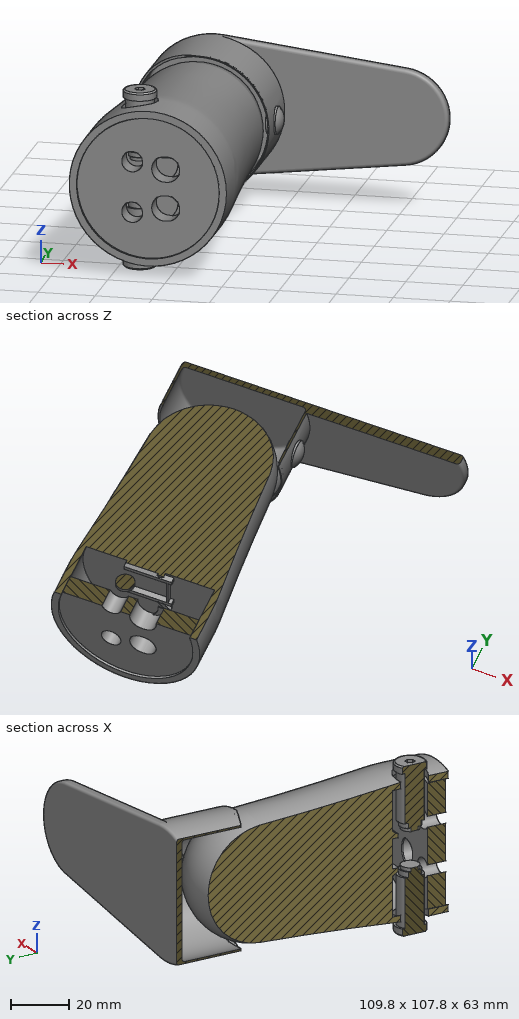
import cadquery as cq
import math

TOTAL_WIDTH = 109.8
TOTAL_LENGTH = 107.8
TOTAL_HEIGHT = 63.0

BASE_RADIUS = 27.6
BASE_LENGTH = 14.3
SHOULDER_END = 21.3
SHOULDER_RADIUS = 27.2
WAIST_MIDDLE = 50.5
WAIST_MIDDLE_RADIUS = 24.9
DOME_START = 75.0
DOME_CENTER = 73.4
DOME_RADIUS = 23.6
BORE_AND_HUB_DIAMETER = 50.0
BORE_RADIUS = BORE_AND_HUB_DIAMETER / 2
BORE_DEPTH = 22.0

RIB_HEIGHT = 2.2
RIB_INNER_Z = 5.5
RIB_OUTER_Z = 6.9
RIB_FOOT_Z = 8.3
RIB_END_X = 8.8
LEG_X = 6.9
LEG_WIDTH = 0.5
SPUR_ANGLE = 45.0
SPUR_HEIGHT = 1.6
SPUR_WIDTH = 1.6
SPUR_LENGTH = 5.5
SPUR_START_X = 3.7

PLATE_RECESS = 1.0
PLATE_THICKNESS = 7.4
SMALL_HOLE_DIAMETER = 7.2
SMALL_HOLE_Z = 9.0
LARGE_HOLE_WIDTH = 9.0
LARGE_HOLE_LENGTH = 9.8
LARGE_HOLE_X = 6.0
LARGE_HOLE_Z = 6.9
LEDGE_THICKNESS = 0.5
LEDGE_OPENING_DIAMETER = 12.5
LEDGE_EDGE_X = 8.8

SCREW_X = -5.7
SCREW_Y = 13.4
SCREW_HEAD_DIAMETER = 11.5
SCREW_HEAD_HEIGHT = 2.9
SCREW_HEAD_CHAMFER = 0.5
SCREW_TOP_Z = TOTAL_HEIGHT / 2
SHANK_DIAMETER = 9.8
SHANK_END_Z = 10.0
TIP_DIAMETER = 8.0
TIP_END_Z = 8.0
NOSE_DIAMETER = 6.8
NOSE_END_Z = 6.7
SOCKET_CORNERS = 3.5
SOCKET_DEPTH = 5.5
SCREW_RECESS_DIAMETER = 12.5
SCREW_RECESS_FLOOR_Z = 23.1

HUB_RADIUS = BORE_AND_HUB_DIAMETER / 2
HUB_MOUTH_Y = 78.8
HUB_CUT_Y = 88.2
MOUTH_RADIUS = 24.6
MOUTH_END_Y = 80.6
CAVITY_RADIUS = 24.2
CAVITY_FLOOR_Y = 105.5
CAVITY_FILLET = 1.1
LEVER_THICKNESS = 4.3
LEVER_END_X = TOTAL_WIDTH - BASE_RADIUS
LEVER_END_RADIUS = 17.1
LEVER_TOP_FILLET = 1.1
LEVER_BOTTOM_FILLET = 1.2

CAP_Y = 91.6
CAP_DIAMETER = 9.8
CAP_TOP_X = 27.4
CAP_RIM_X = 25.4
CAP_BACK_X = 22.0


def cylinder_y(radius, start, end):
    """Cylinder on the main axis between two Y values."""
    return cq.Workplane("XZ", origin=(0, start, 0)).circle(radius).extrude(start - end)


def cylinder_z(diameter, start, end):
    """Cylinder on the axis of the screws between two Z values."""
    return (
        cq.Workplane("XY", origin=(SCREW_X, SCREW_Y, start)).circle(diameter / 2).extrude(end - start)
    )


def mirrored_in_z(shape):
    return shape.mirror("XY")


def make_ribs():
    """One half of the rib pattern on the floor of the bore, at positive Z."""
    top = BORE_DEPTH - RIB_HEIGHT
    bar = cq.Workplane("XY").box(
        2 * RIB_END_X, RIB_HEIGHT, RIB_OUTER_Z - RIB_INNER_Z, centered=(True, False, False)
    )
    bar = bar.translate((0, top, RIB_INNER_Z))
    flank = (
        cq.Workplane("YZ", origin=(-RIB_END_X, 0, 0))
        .polyline([(BORE_DEPTH, RIB_OUTER_Z), (top, RIB_OUTER_Z), (BORE_DEPTH, RIB_FOOT_Z)])
        .close()
        .extrude(RIB_END_X + SPUR_START_X)
    )
    leg = cq.Workplane("XY").box(LEG_WIDTH, RIB_HEIGHT, RIB_INNER_Z, centered=False)
    leg = leg.translate((LEG_X, top, 0))
    spur = cq.Workplane("XY").box(SPUR_LENGTH, SPUR_HEIGHT, SPUR_WIDTH, centered=(False, False, True))
    spur = spur.rotate((0, 0, 0), (0, 1, 0), -SPUR_ANGLE)
    spur = spur.translate((SPUR_START_X, BORE_DEPTH - SPUR_HEIGHT, RIB_OUTER_Z))
    return bar.union(flank).union(leg).union(spur)


def make_body():
    dome_edge = math.sqrt(DOME_RADIUS**2 - (DOME_START - DOME_CENTER) ** 2)
    diagonal = DOME_RADIUS / math.sqrt(2)
    body = (
        cq.Workplane("XY")
        .lineTo(BASE_RADIUS, 0)
        .lineTo(BASE_RADIUS, BASE_LENGTH)
        .tangentArcPoint((SHOULDER_RADIUS, SHOULDER_END), relative=False)
        .threePointArc((WAIST_MIDDLE_RADIUS, WAIST_MIDDLE), (dome_edge, DOME_START))
        .threePointArc((diagonal, DOME_CENTER + diagonal), (0, DOME_CENTER + DOME_RADIUS))
        .close()
        .revolve(360, (0, 0, 0), (0, 1, 0))
    )
    body = body.cut(cylinder_y(BORE_RADIUS, 0, BORE_DEPTH))
    ribs = make_ribs()
    body = body.union(ribs).union(mirrored_in_z(ribs))
    screw_hole = cylinder_z(SHANK_DIAMETER, 0, BASE_RADIUS).union(
        cylinder_z(SCREW_RECESS_DIAMETER, SCREW_RECESS_FLOOR_Z, BASE_RADIUS)
    )
    return body.cut(screw_hole).cut(mirrored_in_z(screw_hole))


def make_large_hole(plate_end):
    """Obround hole that narrows to a partly covering round opening at its inner end."""
    slot = (
        cq.Workplane("XZ", origin=(LARGE_HOLE_X, 0, 0))
        .slot2D(LARGE_HOLE_LENGTH, LARGE_HOLE_WIDTH)
        .extrude(-plate_end)
    )
    ledge_start = plate_end - LEDGE_THICKNESS
    opening_radius = LEDGE_OPENING_DIAMETER / 2
    opening = cylinder_y(opening_radius, ledge_start, plate_end)
    opening = opening.translate((LEDGE_EDGE_X - opening_radius, 0, 0))
    ledge = cylinder_y(BORE_RADIUS, ledge_start, plate_end).cut(opening)
    return slot.cut(ledge)


def make_base_plate():
    plate_end = PLATE_RECESS + PLATE_THICKNESS
    plate = cylinder_y(BORE_RADIUS, PLATE_RECESS, plate_end)
    for side in (-1, 1):
        small_hole = cylinder_y(SMALL_HOLE_DIAMETER / 2, 0, plate_end)
        plate = plate.cut(small_hole.translate((SCREW_X, 0, side * SMALL_HOLE_Z)))
        plate = plate.cut(make_large_hole(plate_end).translate((0, 0, side * LARGE_HOLE_Z)))
    return plate


def make_screw(side):
    """Screw pointing inward from the +Z side (side = 1) or the -Z side (side = -1)."""
    head_base = SCREW_TOP_Z - SCREW_HEAD_HEIGHT
    head = cylinder_z(SCREW_HEAD_DIAMETER, head_base, SCREW_TOP_Z).faces(">Z").chamfer(SCREW_HEAD_CHAMFER)
    shank = cylinder_z(SHANK_DIAMETER, SHANK_END_Z, head_base)
    tip = cylinder_z(TIP_DIAMETER, TIP_END_Z, SHANK_END_Z)
    nose = cylinder_z(NOSE_DIAMETER, NOSE_END_Z, TIP_END_Z)
    socket = (
        cq.Workplane("XY", origin=(SCREW_X, SCREW_Y, SCREW_TOP_Z))
        .polygon(6, SOCKET_CORNERS)
        .extrude(-SOCKET_DEPTH)
    )
    screw = head.union(shank).union(tip).union(nose).cut(socket)
    return screw if side > 0 else mirrored_in_z(screw)


def make_lever():
    """Flat lever whose straight edges are tangent to the hub and to the rounded end."""
    end_center = LEVER_END_X - LEVER_END_RADIUS
    sine = (HUB_RADIUS - LEVER_END_RADIUS) / end_center
    cosine = math.sqrt(1 - sine**2)
    hub_x, hub_z = HUB_RADIUS * sine, HUB_RADIUS * cosine
    end_x, end_z = end_center + LEVER_END_RADIUS * sine, LEVER_END_RADIUS * cosine
    lever = (
        cq.Workplane("XZ", origin=(0, TOTAL_LENGTH, 0))
        .moveTo(hub_x, hub_z)
        .lineTo(end_x, end_z)
        .threePointArc((LEVER_END_X, 0), (end_x, -end_z))
        .lineTo(hub_x, -hub_z)
        .threePointArc((-HUB_RADIUS, 0), (hub_x, hub_z))
        .close()
        .extrude(LEVER_THICKNESS)
    )
    lever = lever.faces(">Y").edges().fillet(LEVER_TOP_FILLET)
    return lever.faces("<Y").edges().fillet(LEVER_BOTTOM_FILLET)


def make_handle():
    hub = cylinder_y(HUB_RADIUS, HUB_MOUTH_Y, TOTAL_LENGTH - LEVER_TOP_FILLET)
    slant = (
        cq.Workplane("XY", origin=(0, 0, -HUB_RADIUS))
        .moveTo(0, HUB_MOUTH_Y)
        .lineTo(-HUB_RADIUS, HUB_CUT_Y)
        .lineTo(-HUB_RADIUS, HUB_MOUTH_Y)
        .close()
        .extrude(2 * HUB_RADIUS)
    )
    hub = hub.cut(slant).union(make_lever())
    cavity = cylinder_y(CAVITY_RADIUS, HUB_MOUTH_Y, CAVITY_FLOOR_Y).faces(">Y").edges().fillet(CAVITY_FILLET)
    mouth = cylinder_y(MOUTH_RADIUS, HUB_MOUTH_Y, MOUTH_END_Y)
    cap_hole = (
        cq.Workplane("YZ", origin=(CAP_BACK_X, CAP_Y, 0))
        .circle(CAP_DIAMETER / 2)
        .extrude(HUB_RADIUS - CAP_BACK_X)
    )
    return hub.cut(cavity).cut(mouth).cut(cap_hole)


def make_cap():
    """Domed cap on the +X side of the handle."""
    cap_radius = CAP_DIAMETER / 2
    rise = CAP_TOP_X - CAP_RIM_X
    dome_radius = (cap_radius**2 + rise**2) / (2 * rise)
    middle_radius = cap_radius / 2
    middle_x = CAP_TOP_X - dome_radius + math.sqrt(dome_radius**2 - middle_radius**2)
    return (
        cq.Workplane("XY", origin=(0, CAP_Y, 0))
        .moveTo(CAP_BACK_X, 0)
        .lineTo(CAP_BACK_X, cap_radius)
        .lineTo(CAP_RIM_X, cap_radius)
        .threePointArc((middle_x, middle_radius), (CAP_TOP_X, 0))
        .close()
        .revolve(360, (0, 0, 0), (1, 0, 0))
    )


body = make_body()
base_plate = make_base_plate()
handle = make_handle()
cap = make_cap()
screws = [make_screw(side) for side in (1, -1)]

result = cq.Compound.makeCompound(
    [body.val(), base_plate.val(), handle.val(), cap.val(), *[screw.val() for screw in screws]]
)